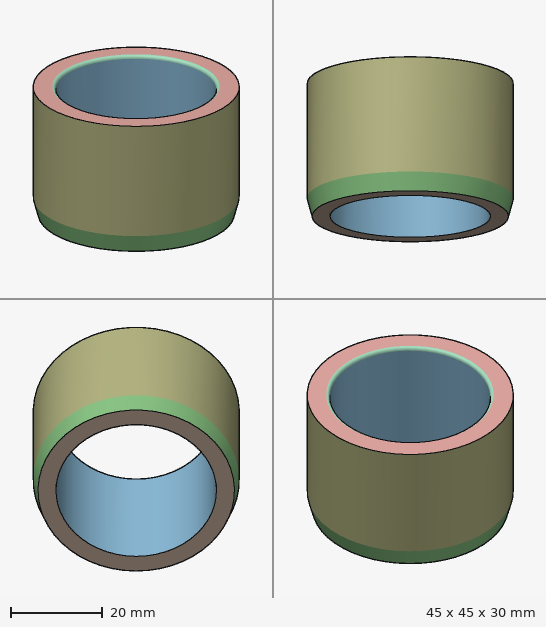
import cadquery as cq
import math

outer_diameter = 45.0
bore_diameter = 35.0
height = 30.0
lead_in_height = 4.0
lead_in_angle = 15.0
bore_edge_radius = 0.75

outer_radius = outer_diameter / 2
bore_radius = bore_diameter / 2
lead_in_inset = lead_in_height * math.tan(math.radians(lead_in_angle))

section = (
    cq.Workplane("XZ")
    .moveTo(bore_radius, 0)
    .lineTo(outer_radius - lead_in_inset, 0)
    .lineTo(outer_radius, lead_in_height)
    .lineTo(outer_radius, height)
    .lineTo(bore_radius, height)
    .close()
)
bushing = section.revolve(360, (0, 0, 0), (0, 1, 0))

result = bushing.faces(">Z").edges(cq.selectors.RadiusNthSelector(0)).fillet(bore_edge_radius)